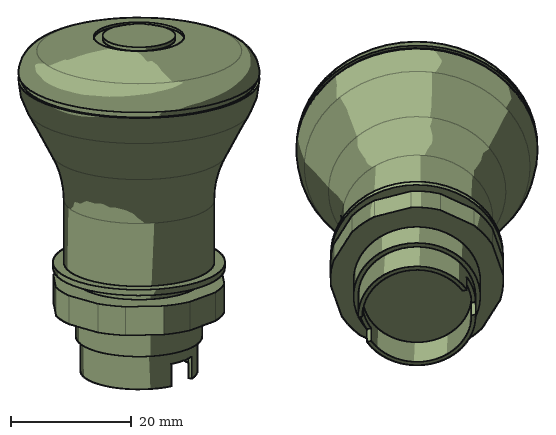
import cadquery as cq
import math

TOTAL_HEIGHT = 59.0
SPIGOT_TOP = 6.0
NUT_BOTTOM = 11.0
NUT_TOP = 16.0
WASHER_BOTTOM = 18.0
WASHER_TOP = 19.0
NECK_TOP = 30.05
FLARE_BOTTOM = 38.45
FLARE_MIDDLE = 42.3
FLARE_TOP = 46.15
RIM_GROOVE_BOTTOM = 51.0
RIM_GROOVE_TOP = 52.0

HEAD_RADIUS = 20.0
RIM_GROOVE_RADIUS = 19.5
NECK_RADIUS = 12.5
FLARE_BOTTOM_RADIUS = 14.7
FLARE_MIDDLE_RADIUS = 16.65
FLARE_TOP_RADIUS = 18.7

DOME_SPHERE_RADIUS = 50.0
DOME_EDGE_RADIUS = 17.0
RING_OUTER_RADIUS = 7.5
RING_INNER_RADIUS = 6.0
RING_DEPTH = 1.0

SHANK_RADIUS = 10.5
SPIGOT_RADIUS = 9.75
SPIGOT_WALL = 0.7
SLOT_WIDTH = 5.0
SLOT_HEIGHT = 3.9
WASHER_RADIUS = 14.3
NUT_SIDES = 8
NUT_ACROSS_FLATS = 27.95
NUT_CORNER_RADIUS = 14.35


def disc(radius, bottom, top):
    """Solid cylinder on the Z axis between two heights."""
    return cq.Workplane("XY").workplane(offset=bottom).circle(radius).extrude(top - bottom)


def ring(outer_radius, inner_radius, bottom, top):
    """Cylindrical ring on the Z axis between two heights."""
    profile = cq.Workplane("XY").workplane(offset=bottom).circle(outer_radius).circle(inner_radius)
    return profile.extrude(top - bottom)


def dome_height(radius):
    """Height of the spherical top face at a distance from the axis."""
    sphere_centre = TOTAL_HEIGHT - DOME_SPHERE_RADIUS
    return sphere_centre + math.sqrt(DOME_SPHERE_RADIUS**2 - radius**2)


def make_head():
    """Mushroom head: neck, flared grip, rim groove and domed top with a ring groove."""
    profile = (
        cq.Workplane("XZ")
        .moveTo(0, WASHER_BOTTOM)
        .lineTo(NECK_RADIUS, WASHER_BOTTOM)
        .lineTo(NECK_RADIUS, NECK_TOP)
        .tangentArcPoint((FLARE_BOTTOM_RADIUS, FLARE_BOTTOM), relative=False)
        .threePointArc((FLARE_MIDDLE_RADIUS, FLARE_MIDDLE), (FLARE_TOP_RADIUS, FLARE_TOP))
        .tangentArcPoint((HEAD_RADIUS, RIM_GROOVE_BOTTOM), relative=False)
        .lineTo(RIM_GROOVE_RADIUS, RIM_GROOVE_BOTTOM)
        .lineTo(RIM_GROOVE_RADIUS, RIM_GROOVE_TOP)
        .lineTo(HEAD_RADIUS, RIM_GROOVE_TOP)
    )
    dome_edge = (DOME_EDGE_RADIUS, dome_height(DOME_EDGE_RADIUS))
    dome_middle_radius = DOME_EDGE_RADIUS / 2
    dome_middle = (dome_middle_radius, dome_height(dome_middle_radius))
    shoulder_inset = HEAD_RADIUS - dome_edge[0]
    shoulder_rise = dome_edge[1] - RIM_GROOVE_TOP
    shoulder_radius = (shoulder_inset**2 + shoulder_rise**2) / (2 * shoulder_inset)
    half_angle = math.asin(shoulder_rise / shoulder_radius) / 2
    shoulder_middle = (
        HEAD_RADIUS - shoulder_radius * (1 - math.cos(half_angle)),
        RIM_GROOVE_TOP + shoulder_radius * math.sin(half_angle),
    )
    profile = (
        profile.threePointArc(shoulder_middle, dome_edge)
        .threePointArc(dome_middle, (0, TOTAL_HEIGHT))
        .close()
    )
    solid_head = profile.revolve(360, (0, 0, 0), (0, 1, 0))
    ring_floor = TOTAL_HEIGHT - RING_DEPTH
    return solid_head.cut(ring(RING_OUTER_RADIUS, RING_INNER_RADIUS, ring_floor, TOTAL_HEIGHT))


def make_washer():
    """Flat washer around the foot of the neck."""
    return ring(WASHER_RADIUS, NECK_RADIUS, WASHER_BOTTOM, WASHER_TOP)


def make_nut():
    """Eight-sided nut with its corners rounded off by a cylinder."""
    corner_diameter = NUT_ACROSS_FLATS / math.cos(math.pi / NUT_SIDES)
    prism = (
        cq.Workplane("XY")
        .workplane(offset=NUT_BOTTOM)
        .transformed(rotate=(0, 0, 180 / NUT_SIDES))
        .polygon(NUT_SIDES, corner_diameter)
        .extrude(NUT_TOP - NUT_BOTTOM)
    )
    return prism.intersect(ring(NUT_CORNER_RADIUS, SHANK_RADIUS, NUT_BOTTOM, NUT_TOP))


def make_shank():
    """Shank with a thin-walled spigot below, slotted through along X."""
    spigot = ring(SPIGOT_RADIUS, SPIGOT_RADIUS - SPIGOT_WALL, 0, SPIGOT_TOP)
    slot = cq.Workplane("XY").box(
        2 * SHANK_RADIUS, SLOT_WIDTH, SLOT_HEIGHT, centered=(True, True, False)
    )
    return disc(SHANK_RADIUS, SPIGOT_TOP, WASHER_BOTTOM).union(spigot).cut(slot)


head = make_head()
washer = make_washer()
nut = make_nut()
shank = make_shank()

result = cq.Compound.makeCompound([head.val(), washer.val(), nut.val(), shank.val()])